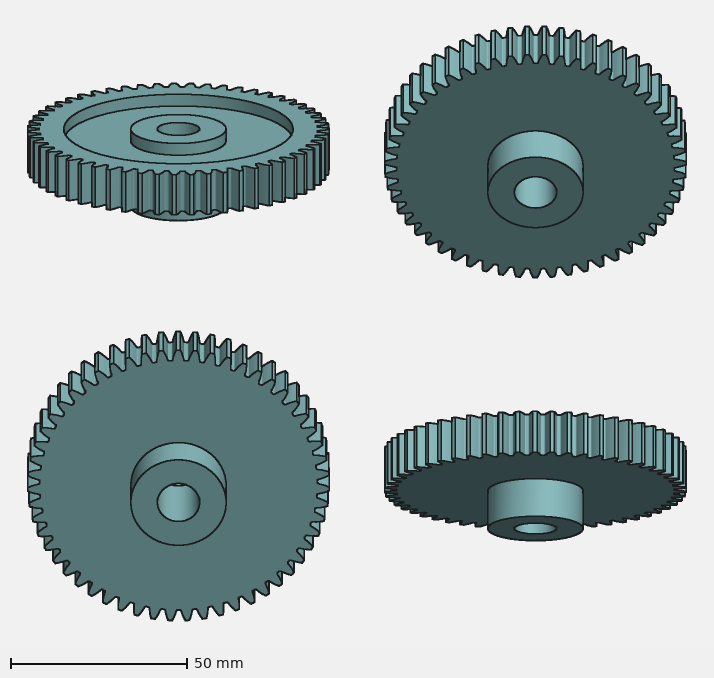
import cadquery as cq
import math

outer_diameter = 85.5
tooth_count = 55
pressure_angle = math.radians(20)
dedendum_factor = 1.25
root_fillet = 0.4

face_width = 12.0
bore_diameter = 12.0
hub_diameter = 27.0
hub_projection = 11.0
recess_diameter = 65.0
recess_depth = 3.5

module = outer_diameter / (tooth_count + 2)
tip_radius = outer_diameter / 2
pitch_radius = module * tooth_count / 2
root_radius = pitch_radius - dedendum_factor * module
base_radius = pitch_radius * math.cos(pressure_angle)
tooth_pitch = 2 * math.pi / tooth_count
first_tooth_angle = -math.pi / 2


def involute(angle):
    return math.tan(angle) - angle


def half_tooth_angle(radius):
    """Angle from the tooth centreline to its involute flank at a radius."""
    flank_pressure_angle = math.acos(base_radius / radius)
    return tooth_pitch / 4 + involute(pressure_angle) - involute(flank_pressure_angle)


def polar(radius, angle):
    return (radius * math.cos(angle), radius * math.sin(angle))


def flank_point(radius, centre, side):
    """Point on a flank; side is -1 for the clockwise flank and +1 for the other."""
    return polar(radius, centre + side * half_tooth_angle(radius))


def tooth_centre(tooth):
    """Angle of a tooth centreline; numbering wraps round after the last tooth."""
    return first_tooth_angle + (tooth % tooth_count) * tooth_pitch


def toothed_disc():
    """Full disc with all teeth; each flank is an arc through three points of the involute."""
    outline = cq.Workplane("XY").moveTo(*flank_point(root_radius, tooth_centre(0), -1))
    for tooth in range(tooth_count):
        centre = tooth_centre(tooth)
        gap_centre = centre + tooth_pitch / 2
        next_root = flank_point(root_radius, tooth_centre(tooth + 1), -1)
        outline = (
            outline
            .threePointArc(flank_point(pitch_radius, centre, -1), flank_point(tip_radius, centre, -1))
            .threePointArc(polar(tip_radius, centre), flank_point(tip_radius, centre, 1))
            .threePointArc(flank_point(pitch_radius, centre, 1), flank_point(root_radius, centre, 1))
            .threePointArc(polar(root_radius, gap_centre), next_root)
        )
    disc = outline.close().extrude(face_width)

    root_edges = disc.edges("|Z").filter(
        lambda edge: math.hypot(edge.Center().x, edge.Center().y) < pitch_radius
    )
    return root_edges.fillet(root_fillet)


def top_recess():
    """Ring-shaped recess that leaves the hub flush with the rim."""
    return (
        cq.Workplane("XY")
        .workplane(offset=face_width - recess_depth)
        .circle(recess_diameter / 2)
        .circle(hub_diameter / 2)
        .extrude(recess_depth)
    )


def lower_hub():
    return cq.Workplane("XY").circle(hub_diameter / 2).extrude(-hub_projection)


def bore():
    return (
        cq.Workplane("XY")
        .workplane(offset=-hub_projection)
        .circle(bore_diameter / 2)
        .extrude(hub_projection + face_width)
    )


result = toothed_disc().cut(top_recess()).union(lower_hub()).cut(bore())